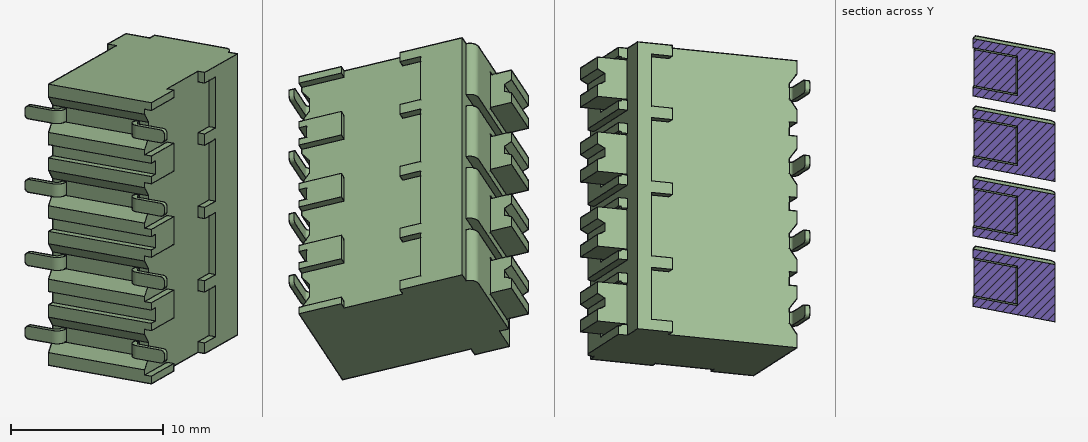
import cadquery as cq

height = 19.44
pole_count = 4
pole_pitch = 5.07
boundary_gap = 0.91

front_y = -6.67
shelf_y = 4.85
crown_y = 5.48
core_x = 3.62
left_wall_x = -4.28
right_wall_x = 4.12
crown_left_x = -2.49
crown_right_x = 3.42
crown_round = 0.62

left_finger_y = 2.4
left_wall_y = 3.85
right_finger_y = 0.45
right_wall_y = right_finger_y + left_wall_y - left_finger_y
finger_width = 0.78
end_finger_width = 0.74
right_foot_y = -3.67
foot_notch_height = 3.15

groove_depth = 0.55
groove_mouth = 2.45
groove_floor = 1.01

lever_left_x = -2.41
lever_right_x = 0.62
lever_top_y = 6.92
lever_height = 2.66
lever_notch_depth = 0.5
lever_notch_mouth = 1.07
lever_notch_floor = 0.55

slot_clearance = 0.08
slot_mouth_clearance = 0.17
slot_mouth_depth = 0.17
slot_taper_depth = 0.08

lead_span = 10.5
lead_front_y = -6.92
lead_thickness = 0.35
lead_width = 0.9
lead_leg_x = 2.57
lead_bend_radius = 0.6
lead_corner_round = 0.3
embed = 0.2

pole_heights = [(i - (pole_count - 1) / 2) * pole_pitch for i in range(pole_count)]
boundary_heights = [(i - (pole_count - 2) / 2) * pole_pitch for i in range(pole_count - 1)]


def box(x_min, x_max, y_min, y_max, z_min, z_max):
    """Axis-aligned block between the given limits."""
    size = (x_max - x_min, y_max - y_min, z_max - z_min)
    return cq.Workplane("XY").box(*size, centered=False).translate((x_min, y_min, z_min))


def slab(x_min, x_max, y_min, y_max, z_middle, z_size):
    """Block centred at a given height."""
    return box(x_min, x_max, y_min, y_max, z_middle - z_size / 2, z_middle + z_size / 2)


def full_height(x_min, x_max, y_min, y_max):
    """Block as tall as the housing."""
    return slab(x_min, x_max, y_min, y_max, 0, height)


def make_lever_slot(z):
    """Clearance around a lever, open to the left and flared at its mouth."""
    narrow_half = lever_height / 2 + slot_clearance
    mouth_half = lever_height / 2 + slot_mouth_clearance
    mouth_y = crown_y - slot_mouth_depth
    taper_y = mouth_y - slot_taper_depth
    return (
        cq.Workplane("YZ", origin=(crown_left_x, 0, 0))
        .moveTo(shelf_y, z - narrow_half)
        .lineTo(taper_y, z - narrow_half)
        .lineTo(mouth_y, z - mouth_half)
        .lineTo(crown_y, z - mouth_half)
        .lineTo(crown_y, z + mouth_half)
        .lineTo(mouth_y, z + mouth_half)
        .lineTo(taper_y, z + narrow_half)
        .lineTo(shelf_y, z + narrow_half)
        .close()
        .extrude(lever_right_x + slot_clearance - crown_left_x)
    )


def make_crown():
    """Raised crown with one rounded edge, split between poles and slotted for the levers."""
    crown = full_height(crown_left_x, crown_right_x, shelf_y - embed, crown_y)
    crown = crown.edges("|Z and >X and >Y").fillet(crown_round)
    for z in boundary_heights:
        crown = crown.cut(slab(crown_left_x, crown_right_x, shelf_y, crown_y, z, boundary_gap))
    for z in pole_heights:
        crown = crown.cut(make_lever_slot(z))
    return crown


def make_side_wall(x_inner, x_outer, wall_y, finger_y):
    """Side wall whose lower edge carries fingers between and beside the poles."""
    x_min = min(x_inner, x_outer)
    x_max = max(x_inner, x_outer)
    wall = full_height(x_min, x_max, wall_y, shelf_y)
    for z in boundary_heights:
        wall = wall.union(slab(x_min, x_max, finger_y, wall_y, z, finger_width))
    for side in (-1, 1):
        z_middle = side * (height - end_finger_width) / 2
        wall = wall.union(slab(x_min, x_max, finger_y, wall_y, z_middle, end_finger_width))
    return wall


def make_right_feet():
    """Rib along the right front edge, interrupted at every pole."""
    feet = full_height(core_x, right_wall_x, front_y, right_foot_y)
    for z in pole_heights:
        feet = feet.cut(slab(core_x, right_wall_x, front_y, right_foot_y, z, foot_notch_height))
    return feet


def cut_front_grooves(body):
    """Tapered groove at every pole and a square groove between poles."""
    floor_y = front_y + groove_depth
    for z in pole_heights:
        groove = (
            cq.Workplane("YZ", origin=(-core_x, 0, 0))
            .moveTo(front_y, z - groove_mouth / 2)
            .lineTo(floor_y, z - groove_floor / 2)
            .lineTo(floor_y, z + groove_floor / 2)
            .lineTo(front_y, z + groove_mouth / 2)
            .close()
            .extrude(2 * core_x)
        )
        body = body.cut(groove)
    for z in boundary_heights:
        body = body.cut(slab(-core_x, right_wall_x, front_y, floor_y, z, boundary_gap))
    return body


def make_lever(z):
    """Push lever with a tapered notch in its top."""
    notch_y = lever_top_y - lever_notch_depth
    return (
        cq.Workplane("YZ", origin=(lever_left_x, 0, 0))
        .moveTo(shelf_y - embed, z - lever_height / 2)
        .lineTo(lever_top_y, z - lever_height / 2)
        .lineTo(lever_top_y, z - lever_notch_mouth / 2)
        .lineTo(notch_y, z - lever_notch_floor / 2)
        .lineTo(notch_y, z + lever_notch_floor / 2)
        .lineTo(lever_top_y, z + lever_notch_mouth / 2)
        .lineTo(lever_top_y, z + lever_height / 2)
        .lineTo(shelf_y - embed, z + lever_height / 2)
        .close()
        .extrude(lever_right_x - lever_left_x)
    )


def make_lead(z):
    """Right-hand lead: a leg out of the groove floor, bent outward into a foot."""
    tip_x = lead_span / 2
    root_y = front_y + groove_depth + embed
    foot_back_y = lead_front_y + lead_thickness
    leg_outer_x = lead_leg_x + lead_thickness
    bend_x = lead_leg_x + lead_bend_radius
    bend_y = lead_front_y + lead_bend_radius
    inner_radius = lead_bend_radius - lead_thickness
    lead = (
        cq.Workplane("XY", origin=(0, 0, z - lead_width / 2))
        .moveTo(lead_leg_x, root_y)
        .lineTo(lead_leg_x, bend_y)
        .radiusArc((bend_x, lead_front_y), -lead_bend_radius)
        .lineTo(tip_x, lead_front_y)
        .lineTo(tip_x, foot_back_y)
        .lineTo(bend_x, foot_back_y)
        .radiusArc((leg_outer_x, bend_y), inner_radius)
        .lineTo(leg_outer_x, root_y)
        .close()
        .extrude(lead_width)
    )
    return lead.edges("|Y and >X").fillet(lead_corner_round)


body = full_height(-core_x, core_x, front_y, shelf_y)
body = body.union(make_crown())
body = body.union(make_side_wall(-core_x, left_wall_x, left_wall_y, left_finger_y))
body = body.union(make_side_wall(core_x, right_wall_x, right_wall_y, right_finger_y))
body = body.union(make_right_feet())
body = cut_front_grooves(body)

for pole_z in pole_heights:
    right_lead = make_lead(pole_z)
    body = body.union(make_lever(pole_z))
    body = body.union(right_lead)
    body = body.union(right_lead.mirror("YZ"))

result = body